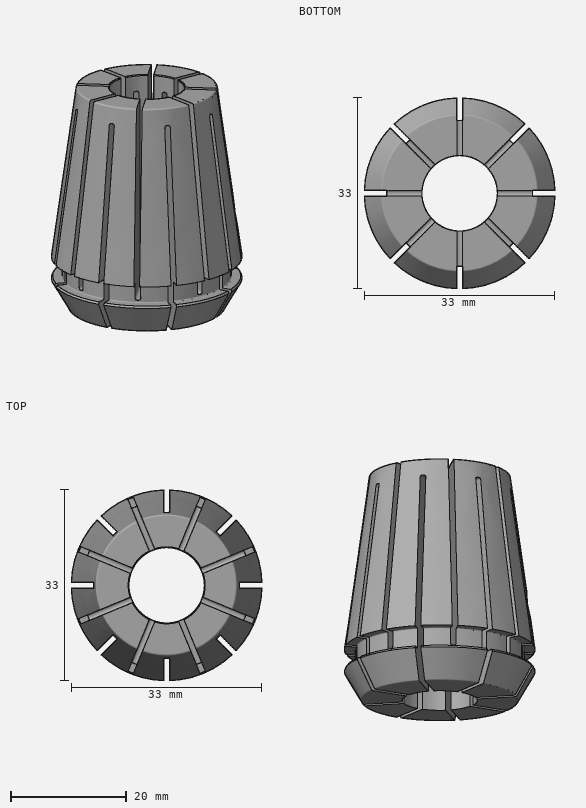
import cadquery as cq
import math

height = 40.0
max_radius = 16.5
bore_radius = 13.0 / 2

taper_angle = 7.9
taper_base_z = 9.1
taper_top_radius = max_radius - (height - taper_base_z) * math.tan(math.radians(taper_angle))
end_edge_fillet = 0.3

groove_radius = 14.6
groove_bottom_z = 5.5
groove_fillet = 0.15
nose_angle = 30.0
nose_rim_z = 5.15
nose_bottom_radius = max_radius - nose_rim_z * math.tan(math.radians(nose_angle))
rim_chamfer_width = 0.25

bore_chamfer = 0.15

slot_width = 1.0
slot_corner_fillet = 0.45
slots_per_set = 8
slot_pitch = 360 / slots_per_set
bottom_slot_end_z = 37.05
top_slot_end_z = 6.0
slot_overrun = 0.8


def make_body():
    """Revolve the outer profile around Z, round its edges, then bore it through."""
    profile = [
        (0, 0),
        (nose_bottom_radius, 0),
        (max_radius, nose_rim_z),
        (max_radius - rim_chamfer_width, groove_bottom_z),
        (groove_radius, groove_bottom_z),
        (groove_radius, taper_base_z),
        (max_radius, taper_base_z),
        (taper_top_radius, height),
        (0, height),
    ]
    body = cq.Workplane("XZ").polyline(profile).close().revolve(360, (0, 0), (0, 1))
    body = body.faces("<Z or >Z").edges().fillet(end_edge_fillet)
    groove_corners = cq.selectors.RadiusNthSelector(0)
    groove_zone = cq.selectors.BoxSelector(
        (-max_radius, -max_radius, nose_rim_z),
        (max_radius, max_radius, taper_base_z + groove_fillet),
        boundingbox=True,
    )
    body = body.edges(groove_zone).edges("%CIRCLE").edges(groove_corners).fillet(groove_fillet)

    bore = cq.Workplane("XY").circle(bore_radius).extrude(height)
    body = body.cut(bore)
    bore_rim = cq.selectors.RadiusNthSelector(0)
    return body.faces(">Z").edges("%CIRCLE").edges(bore_rim).chamfer(bore_chamfer)


def make_slot(open_z, end_z, angle):
    """Radial slot from the axis outwards, open at open_z with rounded corners at end_z."""
    length = max_radius + slot_overrun
    toward_open = math.copysign(1, open_z - end_z)
    mouth_z = open_z + toward_open * slot_overrun
    depth = abs(mouth_z - end_z)
    end_face = "<Z" if toward_open > 0 else ">Z"
    slot = (
        cq.Workplane("XY")
        .box(length, slot_width, depth, centered=(False, True, True))
        .translate((0, 0, (mouth_z + end_z) / 2))
        .faces(end_face)
        .edges("|X")
        .fillet(slot_corner_fillet)
    )
    return slot.rotate((0, 0, 0), (0, 0, 1), angle)


result = make_body()
for index in range(slots_per_set):
    bottom_slot_angle = index * slot_pitch
    top_slot_angle = bottom_slot_angle + slot_pitch / 2
    result = result.cut(make_slot(0, bottom_slot_end_z, bottom_slot_angle))
    result = result.cut(make_slot(height, top_slot_end_z, top_slot_angle))